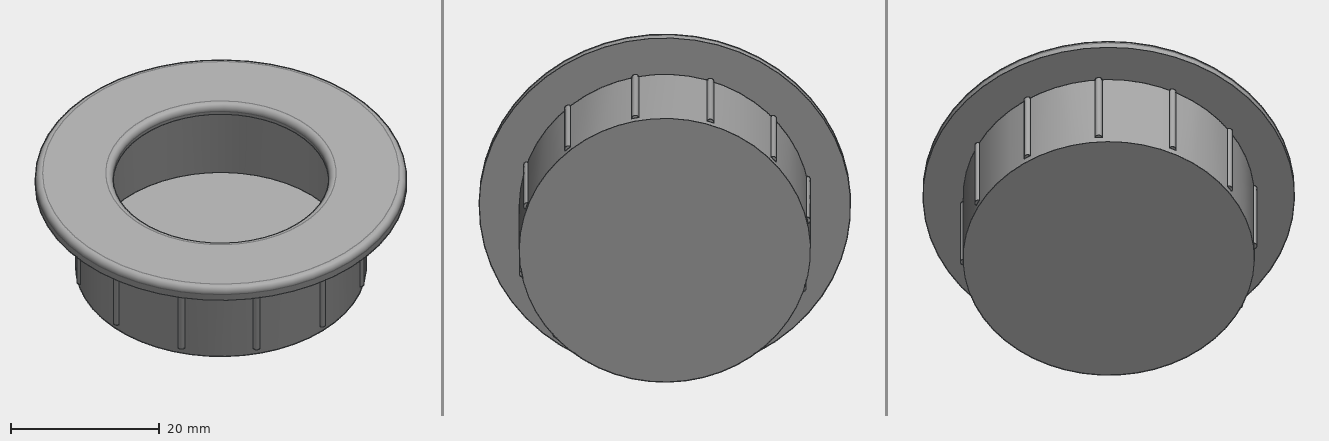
import cadquery as cq

ring_radius = 25.0
ring_thickness = 2.0
opening_radius = 14.5
edge_round = 1.0
seat_depth = 0.5

overall_height = 16.0
cup_radius = 19.6
wall_thickness = 2.0
floor_thickness = 2.0
cup_bore_radius = cup_radius - wall_thickness
ring_bottom = overall_height - ring_thickness
cup_height = ring_bottom + seat_depth

rib_count = 12
rib_radius = 0.5
rib_reach = 20.0
rib_circle_radius = rib_reach - rib_radius
rib_bottom = 1.0
rib_length = ring_bottom - rib_bottom


def cylinder(radius, bottom, height):
    """Upright cylinder on the Z axis, starting at the given height."""
    return cq.Workplane("XY").workplane(offset=bottom).circle(radius).extrude(height)


def make_cover_ring():
    """Flat ring, rounded along both upper edges, with a seat for the cup's rim underneath."""
    disc = cylinder(ring_radius, ring_bottom, ring_thickness)
    opening = cylinder(opening_radius, ring_bottom, ring_thickness)
    rounded_ring = disc.cut(opening).faces(">Z").edges().fillet(edge_round)
    seat = cylinder(cup_radius, ring_bottom, seat_depth)
    return rounded_ring.cut(seat)


def make_ribs():
    """Upright bars evenly spaced around the cup."""
    return (
        cq.Workplane("XY")
        .workplane(offset=rib_bottom)
        .polarArray(rib_circle_radius, 0, 360, rib_count)
        .circle(rib_radius)
        .extrude(rib_length)
    )


def make_cup():
    """Round cup, open at the top, with grip ribs on its outer wall."""
    outside = cylinder(cup_radius, 0, cup_height).union(make_ribs())
    bore = cylinder(cup_bore_radius, floor_thickness, cup_height - floor_thickness)
    return outside.cut(bore)


cover_ring = make_cover_ring()
cup = make_cup()

result = cq.Compound.makeCompound([cover_ring.val(), cup.val()])